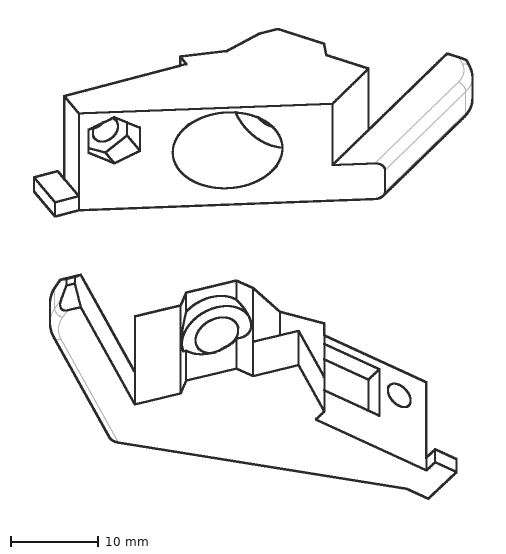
import cadquery as cq
import math

body_height = 13.4
shelf_height = 5.2
arm_height = 4.95
overall_width = 35.6
overall_depth = 46.95

neck_lean = math.radians(35)
along = (math.sin(neck_lean), math.cos(neck_lean))
across = (math.cos(neck_lean), -math.sin(neck_lean))

foot_length = 5.7
foot_width = 3.0
foot_height = 1.95
foot_overhang = 1.75

body_left = 10.6
body_right = 30.55
body_back = 26.95
shelf_corner_y = 18.35
upper_corner = (14.7, 22.0)
front_end_y = 21.95

bore_x = 20.55
bore_z = 7.5
boss_base_width = 8.85
boss_end_width = 6.1
boss_length = 1.9
bore_diameter = 5.2
back_bore_diameter = 8.5
front_bore_diameter = 10.45
front_bore_floor_y = upper_corner[1]

arm_corner_cut = 4.0
arm_corner_radius = 5.9
arm_edge_radius = 1.0
arm_tip_chamfer = 1.95

screw_diameter = 3.2
screw_distance = 3.8
screw_z = 9.5
nut_corner_diameter = 6.35
nut_floor_depth = 3.0
pocket_start = 6.55
pocket_length = 8.08
pocket_bottom = 5.02
pocket_height = 7.05
pocket_depth = 2.2
through = 46.95


def offset(point, direction, distance):
    return (point[0] + direction[0] * distance, point[1] + direction[1] * distance)


def prism(points, height):
    return cq.Workplane("XY").polyline(points).close().extrude(height)


foot_left = (0, -foot_length * across[1])
foot_back = offset(foot_left, along, foot_width)
neck_left = offset(foot_back, across, foot_overhang)
neck_right = offset(foot_back, across, foot_length)
shelf_corner = (body_left, shelf_corner_y)
neck_length = (body_left - neck_left[0]) * along[0] + (shelf_corner_y - neck_left[1]) * along[1]
neck_top = offset(neck_left, along, neck_length)
front_slope = (front_end_y - neck_right[1]) / (overall_width - neck_right[0])
body_front_right = (body_right, neck_right[1] + front_slope * (body_right - neck_right[0]))
boss_left = (bore_x - boss_base_width / 2, body_back)


def make_foot():
    corners = [foot_left, foot_back, neck_right, offset(foot_left, across, foot_length)]
    return prism(corners, foot_height)


def make_body():
    front = [neck_top, neck_left, neck_right, body_front_right, (body_right, body_back)]
    shelf = prism(front + [(body_left, body_back), shelf_corner], shelf_height)
    upper = prism(front + [boss_left, upper_corner, shelf_corner], body_height)
    return shelf.union(upper)


def make_boss():
    boss_end = body_back + boss_length
    return prism(
        [
            boss_left,
            (bore_x - boss_end_width / 2, boss_end),
            (bore_x + boss_end_width / 2, boss_end),
            (bore_x + boss_base_width / 2, body_back),
        ],
        body_height,
    )


def make_arm():
    quarter_turn = math.radians(45)
    half_turn = quarter_turn / 2
    arc_end_y = overall_depth - arm_corner_cut - arm_corner_radius * math.tan(half_turn)
    center = (overall_width - arm_corner_radius, arc_end_y)

    def on_arc(angle):
        return offset(center, (math.cos(angle), math.sin(angle)), arm_corner_radius)

    blank = (
        cq.Workplane("XY")
        .moveTo(*body_front_right)
        .lineTo(overall_width, front_end_y)
        .lineTo(overall_width, arc_end_y)
        .threePointArc(on_arc(half_turn), on_arc(quarter_turn))
        .lineTo(overall_width - arm_corner_cut, overall_depth)
        .lineTo(body_right, overall_depth)
        .close()
        .extrude(arm_height)
    )
    outer_edges = (
        blank.faces(cq.selectors.NearestToPointSelector((overall_width, body_back, arm_height / 2)))
        .edges("|Y")
    )
    blank = outer_edges.fillet(arm_edge_radius)
    chamfer_start = overall_depth - arm_tip_chamfer
    tip_profile = (
        cq.Workplane("YZ", origin=(body_right, 0, 0))
        .polyline(
            [
                (0, 0),
                (chamfer_start, 0),
                (overall_depth, arm_tip_chamfer),
                (overall_depth, arm_height - arm_tip_chamfer),
                (chamfer_start, arm_height),
                (0, arm_height),
            ]
        )
        .close()
        .extrude(overall_width - body_right)
    )
    return blank.intersect(tip_profile)


def bore(diameter, start_y, end_y):
    plane = cq.Plane(origin=(bore_x, start_y, bore_z), xDir=(1, 0, 0), normal=(0, 1, 0))
    return cq.Workplane(plane).circle(diameter / 2).extrude(end_y - start_y)


def make_neck_cuts():
    side = cq.Workplane(cq.Plane(origin=(*neck_left, 0), xDir=(*along, 0), normal=(*across, 0)))
    screw = side.center(screw_distance, screw_z).circle(screw_diameter / 2).extrude(through)
    nut = (
        side.workplane(offset=nut_floor_depth)
        .center(screw_distance, screw_z)
        .transformed(rotate=(0, 0, 90))
        .polygon(6, nut_corner_diameter)
        .extrude(through)
    )
    pocket = (
        side.center(pocket_start, pocket_bottom)
        .rect(pocket_length, pocket_height, centered=False)
        .extrude(pocket_depth)
    )
    return screw.union(nut).union(pocket)


result = make_body().union(make_boss()).union(make_foot()).union(make_arm())
result = result.cut(bore(bore_diameter, 0, through))
result = result.cut(bore(front_bore_diameter, 0, front_bore_floor_y))
result = result.cut(bore(back_bore_diameter, body_back, through))
result = result.cut(make_neck_cuts())